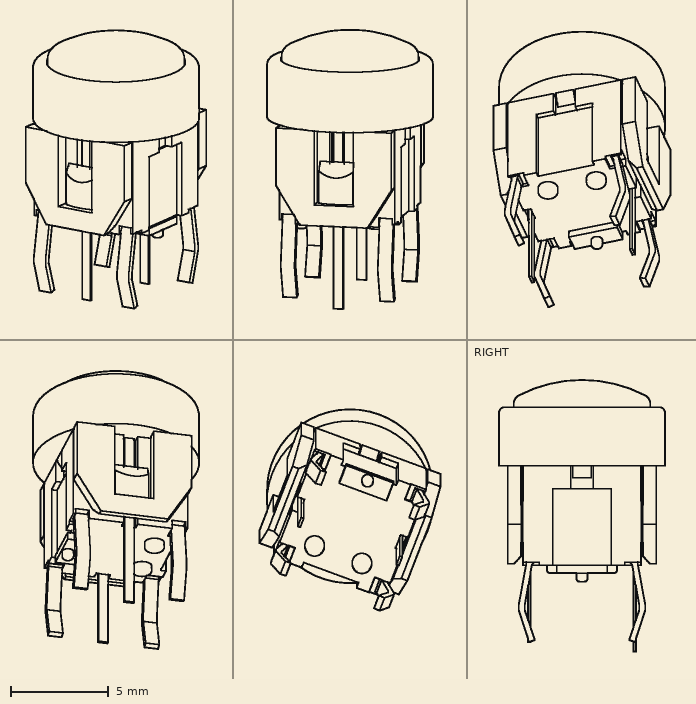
import cadquery as cq
import math

overlap = 0.14

ring_dia = 8.5
ring_bottom = 5.09
ring_top = 8.1
ring_fillet = 0.3
ring_bore_dia = 7.1
bore_depth = 0.5

cap_dia = 7.0
cap_straight_top = 8.25
cap_round_radius = 0.5
cap_top = 9.5
dome_edge_angle = math.radians(27.5)

body_width = 6.05
body_half = body_width / 2
side_recess_half = 1.5
side_recess_depth = 0.29
side_recess_top = 3.92
hook_slot_half = 0.58
hook_slot_depth = 0.4
hook_half = 0.47
hook_bottom = 4.48

plate_inner = 3.11
plate_outer = 3.81
plate_bottom = 0.08
plate_corner_top = 2.1
plate_bottom_half = 1.77
plate_lead_in_depth = 0.36
plate_lead_in_height = 0.39
window_half = 1.03
window_bottom = 1.17

latch_half = 0.89
latch_top = 3.31
latch_side_reach = 0.25
latch_mid_reach = 0.42
latch_mid_drop = 0.76
latch_top_slope = latch_mid_drop / latch_mid_reach

pin_width = 0.5
pin_inner = 2.63
pin_thickness = 0.14
front_pin_tip = -3.92
overall_height = 13.9
back_pin_tip = cap_top - overall_height
pin_slot_width = 0.75

leg_center = 2.55
leg_width = 0.72
pocket_inner = 2.18
pocket_top = 0.47
corner_notch_top = 0.17
leg_root_top = pocket_top
leg_root_bottom = corner_notch_top
leg_bend_start = 2.46
leg_bend_mid = (2.75, 0.35)
leg_bend_end_z = 0.04
leg_bend_outer = 2.86
leg_bend_inner = 2.56
leg_knee_outer = 3.24
leg_knee_inner = 2.92
leg_knee_top = -2.0
leg_knee_bottom = -2.3
leg_tip_outer = (2.71, -3.92)
leg_tip_inner = (2.4, -3.82)

post_dia = 1.0
post_x = -1.7
post_y = 1.29
post_height = 0.39
post_fillet = 0.14
block_x_min = 1.88
block_x_max = 2.88
locator_dia = 0.58
locator_x = leg_center
locator_height = 0.45
locator_fillet = 0.17


def box(x_range, y_range, z_range):
    """Box between the given (low, high) limits along each axis."""
    (x0, x1), (y0, y1), (z0, z1) = x_range, y_range, z_range
    return cq.Workplane("XY").box(x1 - x0, y1 - y0, z1 - z0, centered=False).translate((x0, y0, z0))


def profile_yz(outline, x_center, width):
    """Extrude a closed YZ outline symmetrically about x_center."""
    return outline.close().extrude(width / 2, both=True).translate((x_center, 0, 0))


def make_ring():
    ring = cq.Workplane("XY").workplane(offset=ring_bottom)
    ring = ring.circle(ring_dia / 2).extrude(ring_top - ring_bottom)
    ring = ring.faces(">Z").edges().fillet(ring_fillet)
    bore = cq.Workplane("XY").workplane(offset=ring_top - bore_depth)
    return ring.cut(bore.circle(ring_bore_dia / 2).extrude(bore_depth))


def make_cap():
    """Domed button: straight side, rounded shoulder and spherical top."""
    radius = cap_dia / 2
    shoulder_center = radius - cap_round_radius
    shoulder_mid_angle = (math.pi / 2 - dome_edge_angle) / 2

    def shoulder(angle):
        return (
            shoulder_center + cap_round_radius * math.cos(angle),
            cap_straight_top + cap_round_radius * math.sin(angle),
        )

    edge_r, edge_z = shoulder(math.pi / 2 - dome_edge_angle)
    dome_rise = cap_top - edge_z
    dome_radius = (edge_r**2 + dome_rise**2) / (2 * dome_rise)
    mid_r = edge_r / 2
    mid_z = cap_top - dome_radius + math.sqrt(dome_radius**2 - mid_r**2)
    base_z = ring_top - bore_depth - overlap
    profile = (
        cq.Workplane("XZ")
        .moveTo(0, base_z)
        .lineTo(radius, base_z)
        .lineTo(radius, cap_straight_top)
        .threePointArc(shoulder(shoulder_mid_angle), (edge_r, edge_z))
        .threePointArc((mid_r, mid_z), (0, cap_top))
        .close()
    )
    return profile.revolve(360, (0, 0, 0), (0, 1, 0))


def make_body():
    """Square housing with a hooked recess on each X side."""
    body = box((-body_half, body_half), (-body_half, body_half), (0, ring_bottom))
    floor = body_half - side_recess_depth
    recess = box(
        (floor, body_half), (-side_recess_half, side_recess_half), (0, side_recess_top)
    )
    slot_floor = body_half - hook_slot_depth
    hook_slot = box(
        (slot_floor, body_half), (-hook_slot_half, hook_slot_half), (side_recess_top, ring_bottom)
    )
    hook = (
        cq.Workplane("XZ")
        .polyline([(slot_floor, hook_bottom), (body_half, ring_bottom), (slot_floor, ring_bottom)])
        .close()
        .extrude(hook_half, both=True)
    )
    pocket = recess.union(hook_slot).cut(hook)
    return body.cut(pocket).cut(pocket.mirror("YZ"))


def make_side_plate():
    """Plate on the +Y side with clipped lower corners and an open-topped window."""
    plate = (
        cq.Workplane("XZ", origin=(0, plate_outer, 0))
        .moveTo(-body_half, ring_bottom)
        .lineTo(-body_half, plate_corner_top)
        .lineTo(-plate_bottom_half, plate_bottom)
        .lineTo(plate_bottom_half, plate_bottom)
        .lineTo(body_half, plate_corner_top)
        .lineTo(body_half, ring_bottom)
        .close()
        .extrude(plate_outer - plate_inner)
    )
    window = box(
        (-window_half, window_half), (plate_inner, plate_outer), (window_bottom, ring_bottom)
    )
    lead_in = cq.Workplane("YZ").polyline([
        (plate_inner, plate_bottom),
        (plate_inner + plate_lead_in_depth, plate_bottom),
        (plate_inner, plate_bottom + plate_lead_in_height),
    ])
    return plate.cut(window).cut(profile_yz(lead_in, 0, 2 * body_half))


def make_latch():
    """Bowed latch on the +Y face, its top sloping down towards the outside."""
    latch = (
        cq.Workplane("XY", origin=(0, 0, window_bottom))
        .moveTo(-latch_half, body_half)
        .lineTo(-latch_half, body_half + latch_side_reach)
        .threePointArc(
            (0, body_half + latch_mid_reach), (latch_half, body_half + latch_side_reach)
        )
        .lineTo(latch_half, body_half)
        .close()
        .extrude(latch_top - window_bottom)
    )
    reach = latch_mid_reach + overlap
    slope = cq.Workplane("YZ").polyline([
        (body_half, latch_top),
        (body_half + reach, latch_top),
        (body_half + reach, latch_top - reach * latch_top_slope),
    ])
    return latch.cut(profile_yz(slope, 0, 2 * latch_half))


def make_pin_slot():
    return box(
        (-pin_slot_width / 2, pin_slot_width / 2), (pin_inner, body_half), (0, ring_bottom)
    )


def make_pin(tip):
    return box(
        (-pin_width / 2, pin_width / 2), (pin_inner, pin_inner + pin_thickness), (tip, ring_bottom)
    )


def make_leg_pocket(side):
    """Pocket around the leg root and the shallow notch outside it, at +Y."""
    center = side * leg_center
    pocket = box(
        (center - leg_width / 2, center + leg_width / 2), (pocket_inner, body_half), (0, pocket_top)
    )
    notch_end = side * body_half
    notch = box(
        (min(center, notch_end), max(center, notch_end)),
        (pocket_inner, body_half),
        (0, corner_notch_top),
    )
    return pocket.union(notch)


def make_leg(side):
    """Leg leaving the pocket wall, turning down, and kinked inwards below the knee."""
    outline = (
        cq.Workplane("YZ")
        .moveTo(pocket_inner - overlap, leg_root_top)
        .lineTo(leg_bend_start, leg_root_top)
        .threePointArc(leg_bend_mid, (leg_bend_outer, leg_bend_end_z))
        .lineTo(leg_knee_outer, leg_knee_top)
        .lineTo(leg_knee_outer, leg_knee_bottom)
        .lineTo(*leg_tip_outer)
        .lineTo(*leg_tip_inner)
        .lineTo(leg_knee_inner, leg_knee_bottom)
        .lineTo(leg_knee_inner, leg_knee_top)
        .lineTo(leg_bend_inner, leg_bend_end_z)
        .lineTo(leg_bend_start, leg_root_bottom)
        .lineTo(pocket_inner - overlap, leg_root_bottom)
    )
    return profile_yz(outline, side * leg_center, leg_width)


def make_peg(x, y, diameter, top, height, fillet):
    """Round peg hanging from the given height, with a rounded tip."""
    peg = cq.Workplane("XY", origin=(x, y, top)).circle(diameter / 2).extrude(-height)
    return peg.faces("<Z").edges().fillet(fillet)


def both_y_sides(shape):
    return shape.union(shape.mirror("XZ"))


result = make_body().cut(both_y_sides(make_pin_slot()))
for side in (-1, 1):
    result = result.cut(both_y_sides(make_leg_pocket(side)))

result = result.union(make_ring()).union(make_cap())
result = result.union(both_y_sides(make_side_plate()))
result = result.union(both_y_sides(make_latch()))
for side in (-1, 1):
    result = result.union(both_y_sides(make_leg(side)))
result = result.union(make_pin(back_pin_tip))
result = result.union(make_pin(front_pin_tip).mirror("XZ"))

for y in (-post_y, post_y):
    result = result.union(make_peg(post_x, y, post_dia, 0, post_height, post_fillet))
result = result.union(box((block_x_min, block_x_max), (-post_y, post_y), (-post_height, 0)))
result = result.union(
    make_peg(locator_x, 0, locator_dia, -post_height, locator_height, locator_fillet)
)